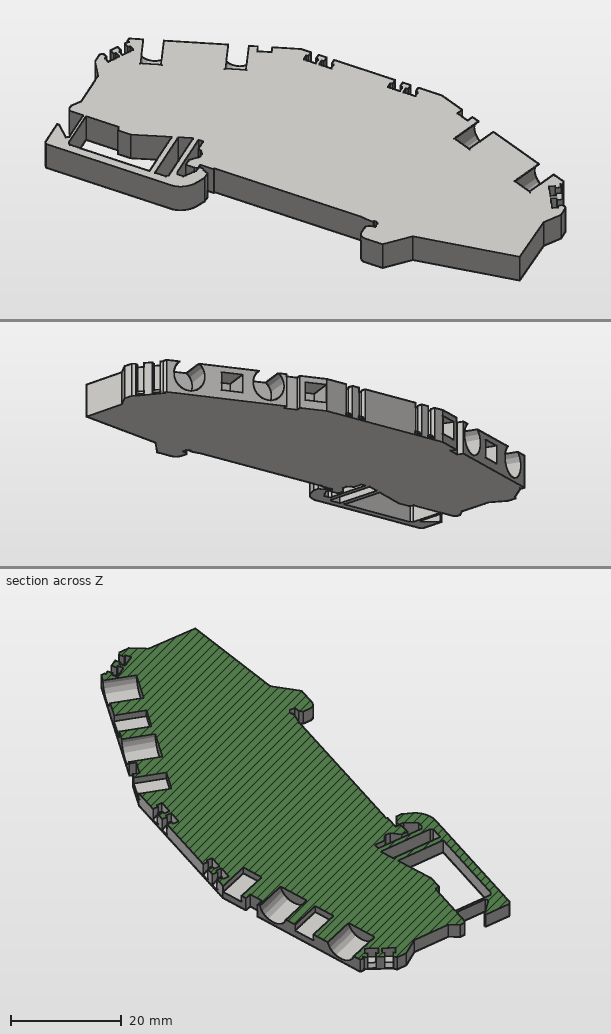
import cadquery as cq
import math

LENGTH = 93.0
HEIGHT = 41.5
THICKNESS = 6.1

HALF_LENGTH = LENGTH / 2
CREST_HALF = 14.05
SLOPE_ANGLE = 20.0
SLOPE_END_X = 43.4

NOTCH_X = 20.2
NOTCH_WIDTH = 2.6
NOTCH_DEPTH = 1.25

FUNNEL_XS = (24.7, 39.2)
FUNNEL_DIAMETER = 6.0
FUNNEL_DEPTH = 6.2
FUNNEL_MOUTH = 3.7

TEST_SLOT_XS = (16.05, 31.4)
TEST_SLOT_LENGTH = 4.1
TEST_SLOT_HEIGHT = 3.4
TEST_SLOT_CENTRE_Z = 3.3
TEST_SLOT_DEPTH = 6.0

END_TOP = (43.4, 29.6)
END_BOTTOM = (45.97, 25.3)
END_STEP_X = 43.0
END_STEP_Y = 30.0

MARKER_PITCH = 3.1
MARKER_NECK_WIDTH = 1.5
MARKER_NECK_DEPTH = 1.1
MARKER_HEAD_WIDTH = 2.4
MARKER_DEPTH = 2.2
MARKER_FLOOR_Z = 1.0
MARKER_RAMP = 0.7
CREST_MARKER_XS = (-9.75, 7.05)
END_MARKER_FROM_TOP = 2.65

END_WALL_X = 44.45
END_WALL_TOP = 19.85
END_NOSE_TOP = 24.9
END_NOSE_BOTTOM = 22.9
RAIL_SEAT_Y = 7.2
RAIL_PAD_Y = 6.95
END_WALL_BOTTOM = 10.0
END_WALL_DRAFT = 0.2
TOE_X = 45.65
TOE_BOTTOM = 9.5
TOE_RADIUS = 0.6
BELLY_BOTTOM = 8.65

HOOK_TIP_X = 15.65
HOOK_THROAT_X = 17.3
HOOK_BOTTOM = 2.45
HOOK_RADIUS = 1.2
LIP_TIP_X = -20.45
LIP_ROOT_X = -18.1
LIP_RECESS_X = -19.0
LIP_WALL_X = -20.1
LIP_BOTTOM = 5.85

FOOT_LEFT = -45.95
FOOT_BASE_TOP = 1.65
FOOT_RIGHT = -15.95
FOOT_CORNER = 0.4
FOOT_TOP = 5.5
FOOT_VALLEY_Y = 3.0
FOOT_TIP_Y = 6.3
STRUT_ROOT_Y = 12.6
STRUT_OVERLAP = 0.5
STRUTS = ((-42.6, -42.05), (-25.75, -24.65), (-22.1, -21.05))


def slope_y(x):
    """Height of the roof slope at distance x from the middle."""
    return HEIGHT - (abs(x) - CREST_HALF) * math.tan(math.radians(SLOPE_ANGLE))


def prism(points):
    return cq.Workplane("XY").polyline(points).close().extrude(THICKNESS)


def round_corner(body, x, y, radius):
    """Fillet the upright edge that stands at (x, y)."""
    corner = cq.NearestToPointSelector((x, y, THICKNESS / 2))
    return body.edges("|Z").edges(corner).fillet(radius)


def edge_plane(x, y, angle, z=0.0):
    """Plane parallel to XY, with local x along an edge and local y pointing out of the part."""
    turn = math.radians(angle)
    return cq.Plane(origin=(x, y, z), xDir=(math.cos(turn), math.sin(turn), 0), normal=(0, 0, 1))


def make_housing():
    roof = [
        (-END_STEP_X, END_STEP_Y),
        (-SLOPE_END_X, END_STEP_Y),
        (-SLOPE_END_X, slope_y(SLOPE_END_X)),
        (-CREST_HALF, HEIGHT),
        (CREST_HALF, HEIGHT),
        (SLOPE_END_X, slope_y(SLOPE_END_X)),
        (SLOPE_END_X, END_STEP_Y),
        (END_STEP_X, END_STEP_Y),
    ]
    right_end = [
        END_TOP,
        END_BOTTOM,
        (HALF_LENGTH, END_NOSE_TOP),
        (HALF_LENGTH, END_NOSE_BOTTOM),
        (END_WALL_X, END_WALL_TOP),
        (END_WALL_X - END_WALL_DRAFT, END_WALL_BOTTOM),
    ]
    rail_hook = [
        (24.5, 6.6),
        (20.4, HOOK_BOTTOM),
        (HOOK_TIP_X, HOOK_BOTTOM),
        (HOOK_TIP_X, 5.2),
        (16.3, 5.75),
        (HOOK_THROAT_X, 5.95),
        (HOOK_THROAT_X, RAIL_PAD_Y),
        (16.9, RAIL_SEAT_Y),
        (16.5, RAIL_SEAT_Y),
        (16.4, RAIL_PAD_Y),
    ]
    rail_seat = [
        (15.6, RAIL_PAD_Y),
        (13.8, RAIL_SEAT_Y),
        (-15.4, RAIL_SEAT_Y),
        (-15.4, RAIL_PAD_Y),
    ]
    fixed_lip = [
        (LIP_ROOT_X, RAIL_PAD_Y),
        (LIP_ROOT_X, 6.1),
        (-18.8, LIP_BOTTOM),
        (LIP_TIP_X, LIP_BOTTOM),
        (LIP_TIP_X, RAIL_SEAT_Y),
        (LIP_RECESS_X, 8.75),
        (LIP_RECESS_X, 9.7),
        (-19.5, 10.3),
        (LIP_WALL_X, 10.5),
    ]
    belly = [
        (LIP_WALL_X, STRUT_ROOT_Y),
        (STRUTS[-1][0], STRUT_ROOT_Y),
        (-23.1, 12.25),
        (-32.7, BELLY_BOTTOM),
        (-35.3, BELLY_BOTTOM),
        (-35.5, TOE_BOTTOM),
    ]
    left_end = [
        (-TOE_X, TOE_BOTTOM),
        (-TOE_X, 10.8),
        (-END_WALL_X, STRUT_ROOT_Y),
        (-END_WALL_X, END_WALL_TOP),
        (-HALF_LENGTH, END_NOSE_BOTTOM),
        (-HALF_LENGTH, END_NOSE_TOP),
        (-END_BOTTOM[0], END_BOTTOM[1]),
        (-END_TOP[0], END_TOP[1]),
    ]
    housing = prism(roof + right_end + rail_hook + rail_seat + fixed_lip + belly + left_end)
    housing = round_corner(housing, HOOK_TIP_X, HOOK_BOTTOM, HOOK_RADIUS)
    return round_corner(housing, -TOE_X, TOE_BOTTOM, TOE_RADIUS)


def make_foot():
    """Base bar with a barb on the left, a rounded claw on the right and three upright struts."""
    (thin_left, thin_right), _, (outer_left, outer_right) = STRUTS
    foot = (
        cq.Workplane("XY")
        .moveTo(FOOT_LEFT + FOOT_CORNER, 0.0)
        .lineTo(-20.3, 0.0)
        .threePointArc((-18.25, 0.8), (-16.7, 2.65))
        .lineTo(FOOT_RIGHT, 4.3)
        .lineTo(FOOT_RIGHT, FOOT_TOP)
        .lineTo(-17.0, 6.0)
        .lineTo(-17.2, FOOT_TIP_Y)
        .lineTo(LIP_ROOT_X, FOOT_TIP_Y)
        .lineTo(LIP_ROOT_X, 5.2)
        .lineTo(-19.6, FOOT_VALLEY_Y)
        .lineTo(outer_right + FOOT_CORNER, FOOT_VALLEY_Y)
        .lineTo(outer_right, FOOT_VALLEY_Y + FOOT_CORNER)
        .lineTo(outer_left, FOOT_BASE_TOP + FOOT_CORNER)
        .lineTo(outer_left - FOOT_CORNER, FOOT_BASE_TOP)
        .lineTo(thin_right + FOOT_CORNER, FOOT_BASE_TOP)
        .lineTo(thin_right, FOOT_BASE_TOP + FOOT_CORNER)
        .lineTo(thin_left, FOOT_VALLEY_Y + FOOT_CORNER)
        .lineTo(-43.1, 3.1)
        .lineTo(FOOT_LEFT + FOOT_CORNER, FOOT_TOP)
        .lineTo(FOOT_LEFT, FOOT_TOP)
        .lineTo(FOOT_LEFT, FOOT_CORNER)
        .close()
        .extrude(THICKNESS)
    )
    bottom = FOOT_BASE_TOP - STRUT_OVERLAP
    top = STRUT_ROOT_Y + STRUT_OVERLAP
    for left, right in STRUTS:
        foot = foot.union(prism([(left, bottom), (right, bottom), (right, top), (left, top)]))
    return foot


def slope_cutters():
    """Notch, funnels and test slots of the left-hand slope."""
    notch = (
        cq.Workplane(edge_plane(-NOTCH_X, slope_y(NOTCH_X), SLOPE_ANGLE))
        .rect(NOTCH_WIDTH, 2 * NOTCH_DEPTH)
        .extrude(THICKNESS)
    )
    cutters = [notch]
    turn = math.radians(SLOPE_ANGLE)
    along = (math.cos(turn), math.sin(turn), 0)
    inward = (math.sin(turn), -math.cos(turn), 0)
    radius = FUNNEL_DIAMETER / 2
    axis_z = THICKNESS - math.sqrt(radius**2 - (FUNNEL_MOUTH / 2) ** 2)
    for x in FUNNEL_XS:
        mouth = cq.Plane(origin=(-x, slope_y(x), axis_z), xDir=along, normal=inward)
        cutters.append(cq.Workplane(mouth).circle(radius).extrude(FUNNEL_DEPTH))
    for x in TEST_SLOT_XS:
        mouth = cq.Plane(origin=(-x, slope_y(x), TEST_SLOT_CENTRE_Z), xDir=along, normal=inward)
        slot = cq.Workplane(mouth).rect(TEST_SLOT_LENGTH, TEST_SLOT_HEIGHT)
        cutters.append(slot.extrude(TEST_SLOT_DEPTH))
    return cutters


def marker_slot(plane):
    """T-shaped pocket whose neck floor ramps down towards the edge."""
    head_depth = MARKER_DEPTH - MARKER_NECK_DEPTH
    height = THICKNESS - MARKER_FLOOR_Z
    head = (
        cq.Workplane(plane)
        .center(0, -MARKER_NECK_DEPTH - head_depth / 2)
        .rect(MARKER_HEAD_WIDTH, head_depth)
        .extrude(height)
    )
    neck = cq.Workplane(plane).rect(MARKER_NECK_WIDTH, 2 * MARKER_NECK_DEPTH).extrude(height)
    side = cq.Plane(origin=plane.origin.toTuple(), xDir=plane.yDir.toTuple(), normal=plane.xDir.toTuple())
    ramp = (
        cq.Workplane(side)
        .polyline([(-MARKER_RAMP, 0), (0, 0), (0, -MARKER_RAMP)])
        .close()
        .extrude(MARKER_NECK_WIDTH / 2, both=True)
    )
    return head.union(neck).union(ramp)


def marker_pair(x, y, angle):
    """Two marker slots, spaced evenly about a point on an edge."""
    turn = math.radians(angle)
    slots = []
    for offset in (-MARKER_PITCH / 2, MARKER_PITCH / 2):
        slot_x = x + offset * math.cos(turn)
        slot_y = y + offset * math.sin(turn)
        slots.append(marker_slot(edge_plane(slot_x, slot_y, angle, MARKER_FLOOR_Z)))
    return slots


def end_markers():
    """Marker pair in the slanted face of the left-hand end."""
    angle = math.atan2(END_TOP[1] - END_BOTTOM[1], END_BOTTOM[0] - END_TOP[0])
    x = -END_TOP[0] - END_MARKER_FROM_TOP * math.cos(angle)
    y = END_TOP[1] - END_MARKER_FROM_TOP * math.sin(angle)
    return marker_pair(x, y, math.degrees(angle))


result = make_housing().union(make_foot())
for cutter in slope_cutters() + end_markers():
    result = result.cut(cutter).cut(cutter.mirror("YZ"))
for pair_x in CREST_MARKER_XS:
    for cutter in marker_pair(pair_x, HEIGHT, 0):
        result = result.cut(cutter)